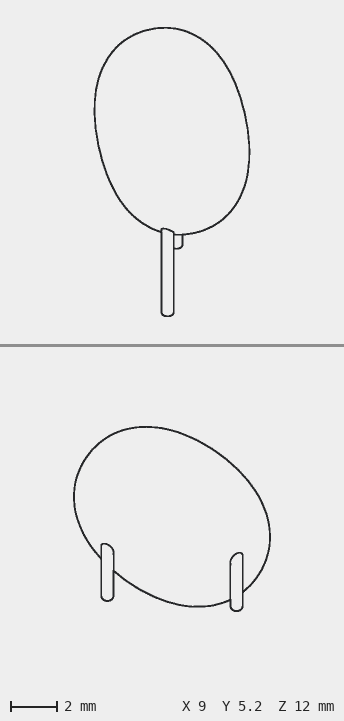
import cadquery as cq

body_diameter = 9.0
body_thickness = 5.2
rim_band_width = 0.1
edge_radius = (body_thickness - rim_band_width) / 2

overall_height = 12.03
lead_diameter = 0.54
lead_offset_x = 2.5
lead_offset_y = 1.25
lead_tip_radius = 0.1
lead_length = overall_height - body_diameter / 2


def make_body():
    """Disc centred on the origin, rounded on both edges up to a narrow rim band."""
    disc = cq.Workplane("XZ").circle(body_diameter / 2).extrude(body_thickness / 2, both=True)
    return disc.edges("%CIRCLE").fillet(edge_radius)


def make_lead(x, y):
    """Lead running down from the disc's centre height to a rounded tip."""
    lead = cq.Workplane("XY").center(x, y).circle(lead_diameter / 2).extrude(-lead_length)
    return lead.faces("<Z").edges().fillet(lead_tip_radius)


result = make_body()
for side in (-1, 1):
    result = result.union(make_lead(side * lead_offset_x, -side * lead_offset_y))